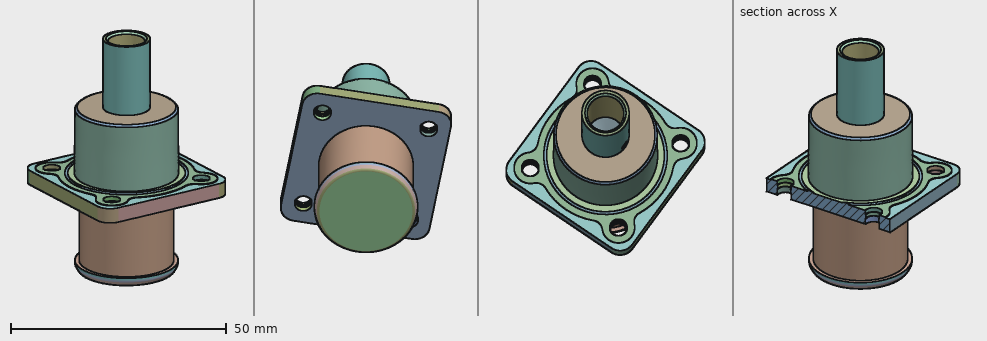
import cadquery as cq
import math

total_height = 57.1
body_top = 40.15

flange_side = 35.0
flange_bottom = 20.1
flange_top = 23.65
flange_corner_radius = 3.5

pad_height = 0.15
pad_top = flange_top + pad_height
pad_radius = 16.0
lobe_radius = 3.75
pad_blend_radius = 2.5

hole_spacing = 25.0
hole_diameter = 4.0
neck_diameter = 3.7
neck_depth = 1.1
neck_length = 1.0

bead_radius = 0.35
bead_outer_radius = 14.35
bead_centre_radius = bead_outer_radius - bead_radius

barrel_radius = 22.0 / 2
collar_radius = 24.0 / 2
collar_height = 2.2
collar_base_radius = 21.6 / 2
collar_half_angle = 30.0
collar_shoulder_fillet = 1.0
collar_bottom_fillet = 0.7

body_base_radius = 12.1
body_top_radius = 12.0
body_chamfer = 0.5

tube_radius = 10.95 / 2
bore_radius = 8.5 / 2
bore_chamfer = 0.5
bore_floor = body_top
drill_tip_angle = 118.0

cross_hole_diameter = 2.0
cross_hole_height = 42.15


def cylinder(radius, bottom, top):
    return cq.Workplane("XY").workplane(offset=bottom).circle(radius).extrude(top - bottom)


def at_corners(plane_height):
    """Workplane at the given height with a point on each screw hole axis."""
    plane = cq.Workplane("XY").workplane(offset=plane_height)
    return plane.rect(hole_spacing, hole_spacing, forConstruction=True).vertices()


def revolve_profile(points):
    """Turn a closed (radius, height) profile about the Z axis."""
    return cq.Workplane("XZ").polyline(points).close().revolve(360, (0, 0, 0), (0, 1, 0))


def make_collar():
    slope = math.tan(math.radians(collar_half_angle))
    fillet_setback = collar_bottom_fillet * math.tan(math.radians(90 - collar_half_angle) / 2)
    corner_radius = collar_base_radius + fillet_setback
    shoulder_height = (collar_radius - corner_radius) / slope
    collar = revolve_profile([
        (0, 0),
        (corner_radius, 0),
        (collar_radius, shoulder_height),
        (collar_radius, collar_height),
        (0, collar_height),
    ])
    shoulder_edge = cq.selectors.NearestToPointSelector((0, 0, shoulder_height))
    collar = collar.edges(shoulder_edge).fillet(collar_shoulder_fillet)
    return collar.faces("<Z").edges().fillet(collar_bottom_fillet)


def make_flange():
    plane = cq.Workplane("XY").workplane(offset=flange_bottom)
    block = plane.rect(flange_side, flange_side).extrude(flange_top - flange_bottom)
    return block.edges("|Z").fillet(flange_corner_radius)


def make_pad():
    disc = cylinder(pad_radius, flange_top, pad_top)
    lobes = at_corners(flange_top).circle(lobe_radius).extrude(pad_height)
    return disc.union(lobes).edges("|Z").fillet(pad_blend_radius)


def make_bead():
    section = cq.Workplane("XZ").center(bead_centre_radius, pad_top).circle(bead_radius)
    return section.revolve(360, (-bead_centre_radius, 0, 0), (-bead_centre_radius, 1, 0))


def make_body():
    return revolve_profile([
        (0, flange_top),
        (body_base_radius, flange_top),
        (body_top_radius, body_top - body_chamfer),
        (body_top_radius - body_chamfer, body_top),
        (0, body_top),
    ])


def make_bore():
    tip_depth = bore_radius / math.tan(math.radians(drill_tip_angle / 2))
    return revolve_profile([
        (0, bore_floor - tip_depth),
        (bore_radius, bore_floor),
        (bore_radius, total_height - bore_chamfer),
        (bore_radius + bore_chamfer, total_height),
        (0, total_height),
    ])


def make_screw_holes():
    neck_top = pad_top - neck_depth
    neck_bottom = neck_top - neck_length
    upper = at_corners(neck_top).circle(hole_diameter / 2).extrude(neck_depth)
    neck = at_corners(neck_bottom).circle(neck_diameter / 2).extrude(neck_length)
    lower = at_corners(flange_bottom).circle(hole_diameter / 2).extrude(neck_bottom - flange_bottom)
    return upper.union(neck).union(lower)


def make_cross_hole():
    plane = cq.Workplane("YZ").center(0, cross_hole_height)
    return plane.circle(cross_hole_diameter / 2).extrude(-body_top_radius)


result = (
    make_collar()
    .union(cylinder(barrel_radius, collar_height, flange_bottom))
    .union(make_flange())
    .union(make_pad())
    .union(make_bead())
    .union(make_body())
    .union(cylinder(tube_radius, body_top, total_height))
    .cut(make_bore())
    .cut(make_screw_holes())
    .cut(make_cross_hole())
)